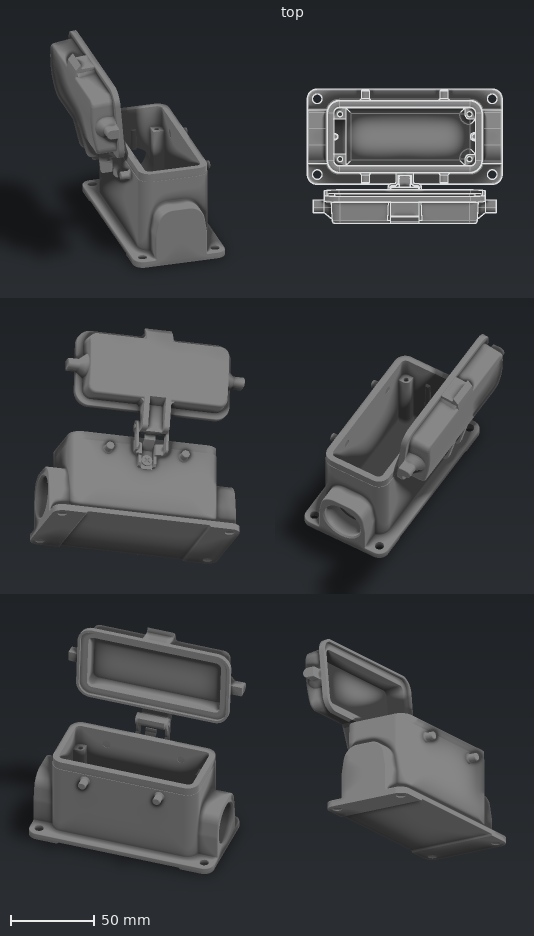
import cadquery as cq
import math

FOOT_LENGTH = 117.0
FOOT_WIDTH = 57.2
FOOT_HEIGHT = 4.2
FOOT_CORNER = 6.1
EDGE_FILLET = 0.7
MOUNT_HOLE_X = 52.4
MOUNT_HOLE_Y = 22.7
MOUNT_HOLE_DIAMETER = 5.6
RELIEF_HALF_BOTTOM = 39.1
RELIEF_HALF_TOP = 37.9
RELIEF_DEPTH = 1.0

BODY_LENGTH = 92.9
BODY_WIDTH = 43.5
BODY_CORNER = 7.5
COLLAR_LENGTH = 92.4
COLLAR_WIDTH = 42.8
COLLAR_CORNER = 7.3
COLLAR_BOTTOM = 50.3
RIM_EDGE_Z = 55.5
RIM_CROWN = 0.5
CAVITY_LENGTH = 85.0
CAVITY_WIDTH = 34.6
CAVITY_CORNER = 3.2
FLOOR_Z = 3.5
FLOOR_FILLET = 3.3
POST_TOP_Z = 42.1
POST_INNER_X = 36.2
POST_CORNER = 2.9
ENTRY_BLOCK_X = -35.3
POST_INNER_Y = 10.5
POST_HOLE_X = 38.7
POST_HOLE_Y = 13.5
POST_HOLE_DIAMETER = 3.0
POST_HOLE_DEPTH = 11.7
RIB_TOP_DIAMETER = 3.0
RIB_BOTTOM_DIAMETER = 5.1
RIB_X = 41.8

BOSS_TOP = 36.0
BOSS_HALF_FLAT = 4.9
BOSS_HALF_WIDTH = 16.0
BOSS_ARC_RADIUS = 9.8
BOSS_ARC_END_TILT = 9.5
BOSS_BEND_RADIUS = 11.7
ENTRY_Z = 19.1
ENTRY_MOUTH_DIAMETER = 25.0
ENTRY_INNER_DIAMETER = 21.0
ENTRY_CHAMFER = 0.9
ENTRY_DEPTH = 14.0

PIN_X = 23.6
PIN_Z = 45.7
PIN_DIAMETER = 4.8
PIN_END_Y = 27.8
PIN_CHAMFER = 0.4
PIN_COLLAR_DIAMETER = 6.7
PIN_COLLAR_HEIGHT = 1.2
PIN_SEAT_DEPTH = 0.2
PIN_ROOT_DEPTH = 1.2

SHEET = 1.4
BEND_RADIUS = 0.7
HAT_HALF_WIDTH = 5.4
HAT_OUTER_Y = -29.5
HAT_BOTTOM = 42.2
HAT_TOP = 49.1
SKIRT_BOTTOM = 36.0
SKIRT_OUTER_Y = -26.5
EAR_OUTER_X = 10.1
EAR_INNER_X = 8.5
EAR_RADIUS = 3.7
HINGE_Y = -33.8
EAR_REAR_Y = -31.8
HINGE_Z = 57.1
HINGE_PIN_DIAMETER = 3.0
HINGE_PIN_HALF_LENGTH = 10.8
EAR_TOE = 0.9
EAR_TOE_Y = -35.8
SPRING_WIDTH = 6.7
SPRING_THICKNESS = 0.7
SPRING_BOTTOM = 34.5
SPRING_TOP = 54.0
SPRING_BEND_LOW = 46.3
SPRING_BEND_HIGH = 50.8
SPRING_OUTER_Y = -31.0
SCREW_Z = 39.9
SCREW_HEAD_DIAMETER = 6.7
SCREW_HEAD_HEIGHT = 1.0
SCREW_CROSS_LENGTH = 4.0
SCREW_CROSS_WIDTH = 0.9
SCREW_CROSS_DEPTH = 0.6

COVER_TILT = 5.0
COVER_CENTER_Y = -33.8
COVER_CENTER_Z = 90.3
LIP_LENGTH = 96.6
LIP_HEIGHT = 46.8
LIP_CORNER = 8.9
LIP_DEPTH = 3.6
LIP_WALL = 1.6
LIP_RECESS_DEPTH = 2.0
LIP_EDGE_FILLET = 0.6
DOME_LENGTH = 88.5
DOME_HEIGHT = 38.8
DOME_CORNER = 5.4
DOME_DRAFT = 3.0
DOME_EDGE_FILLET = 1.8
DOME_EXTRUSION = 23.4
DOME_FRONT_Y = -47.5
FACE_TOP = (-51.0, 111.7)
FACE_MIDDLE = (-51.8, 92.4)
FACE_BOTTOM = (-48.3, 73.1)
DOME_WALL = 2.1
DOME_CAVITY_DEPTH = 13.8
STRAP_HALF_WIDTH = 8.4
GUSSET_WIDTH = 2.6
GUSSET_HEIGHT = 2.8
GUSSET_DEPTH = 12.9
GUSSET_OVERLAP = 0.6
SLOT_HALF_WIDTH = 5.0
KNUCKLE_RADIUS = 3.6
KNUCKLE_LINK_RISE = 2.3
KNUCKLE_LINK_Y = -37.9
KNUCKLE_STOP_RISE = 2.8
KNOB_Y = -42.5
KNOB_Z = 89.5
KNOB_RADIUS = 3.2
KNOB_END_X = 55.1
KNOB_BASE_RADIUS = 7.6
KNOB_BASE_X = 42.8
KNOB_STUB_ROOT_Y = -37.8
KNOB_BASE_ROOT_Y = -36.6
KNOB_OVERLAP = 1.2


def rounded_block(length, width, height, corner, bottom_z):
    block = cq.Workplane("XY", origin=(0, 0, bottom_z)).rect(length, width).extrude(height)
    return block.edges("|Z").fillet(corner)


def box_between(x, y, z):
    """Box from pairs of limits along each axis."""
    return cq.Workplane("XY", origin=(x[0], y[0], z[0])).box(
        x[1] - x[0], y[1] - y[0], z[1] - z[0], centered=False
    )


def prism_along_x(points, x_start, x_end):
    """Prism whose section is an outline of (y, z) points."""
    return cq.Workplane("YZ", origin=(x_start, 0, 0)).polyline(points).close().extrude(x_end - x_start)


def make_mounting_holes():
    return (
        cq.Workplane("XY")
        .rect(2 * MOUNT_HOLE_X, 2 * MOUNT_HOLE_Y, forConstruction=True)
        .vertices()
        .circle(MOUNT_HOLE_DIAMETER / 2)
        .extrude(2 * FOOT_HEIGHT)
    )


def make_relief():
    """Shallow channel across the underside, leaving a pad at each end."""
    return (
        cq.Workplane("XZ", origin=(0, FOOT_WIDTH / 2, 0))
        .polyline([
            (-RELIEF_HALF_BOTTOM, 0),
            (-RELIEF_HALF_TOP, RELIEF_DEPTH),
            (RELIEF_HALF_TOP, RELIEF_DEPTH),
            (RELIEF_HALF_BOTTOM, 0),
        ])
        .close()
        .extrude(FOOT_WIDTH)
    )


def make_boss(side):
    """Arched block on one end of the housing."""
    tilt = math.radians(BOSS_ARC_END_TILT)
    arc_z = BOSS_TOP - BOSS_ARC_RADIUS

    def arc_point(angle):
        return (
            BOSS_HALF_FLAT + BOSS_ARC_RADIUS * math.cos(angle),
            arc_z + BOSS_ARC_RADIUS * math.sin(angle),
        )

    end_y, end_z = arc_point(tilt)
    mid_y, mid_z = arc_point((tilt + math.pi / 2) / 2)
    boss = (
        cq.Workplane("YZ")
        .moveTo(-BOSS_HALF_WIDTH, 0)
        .lineTo(BOSS_HALF_WIDTH, 0)
        .lineTo(BOSS_HALF_WIDTH, ENTRY_Z)
        .lineTo(end_y, end_z)
        .threePointArc((mid_y, mid_z), (BOSS_HALF_FLAT, BOSS_TOP))
        .lineTo(-BOSS_HALF_FLAT, BOSS_TOP)
        .threePointArc((-mid_y, mid_z), (-end_y, end_z))
        .lineTo(-BOSS_HALF_WIDTH, ENTRY_Z)
        .close()
        .extrude(FOOT_LENGTH / 2)
    )
    for bend_y in (-BOSS_HALF_WIDTH, BOSS_HALF_WIDTH):
        bend = cq.selectors.NearestToPointSelector((FOOT_LENGTH / 4, bend_y, ENTRY_Z))
        boss = boss.edges(bend).fillet(BOSS_BEND_RADIUS)
    return boss if side > 0 else boss.mirror("YZ")


def make_rim_crown():
    """Gently rounded top of the wall, swept around the opening."""
    wall = (COLLAR_LENGTH - CAVITY_LENGTH) / 2
    outer_x = COLLAR_LENGTH / 2
    section = (
        cq.Workplane("XZ")
        .moveTo(outer_x, RIM_EDGE_Z)
        .threePointArc((outer_x - wall / 2, RIM_EDGE_Z + RIM_CROWN), (outer_x - wall, RIM_EDGE_Z))
        .close()
    )
    half_x = outer_x
    half_y = COLLAR_WIDTH / 2
    corner = COLLAR_CORNER
    straight_x = half_x - corner
    straight_y = half_y - corner
    path = (
        cq.Workplane("XY", origin=(0, 0, RIM_EDGE_Z))
        .moveTo(half_x, 0)
        .lineTo(half_x, straight_y)
        .radiusArc((straight_x, half_y), -corner)
        .lineTo(-straight_x, half_y)
        .radiusArc((-half_x, straight_y), -corner)
        .lineTo(-half_x, -straight_y)
        .radiusArc((-straight_x, -half_y), -corner)
        .lineTo(straight_x, -half_y)
        .radiusArc((half_x, -straight_y), -corner)
        .close()
    )
    return section.sweep(path)


def make_cavity():
    """Inside of the shell, leaving the corner posts, the entry block and the end ribs."""
    half_x = CAVITY_LENGTH / 2
    half_y = CAVITY_WIDTH / 2
    lower = box_between((ENTRY_BLOCK_X, half_x), (-half_y, half_y), (FLOOR_Z, POST_TOP_Z))
    middle = (0, 0, (FLOOR_Z + POST_TOP_Z) / 2)
    for y_limits in ((POST_INNER_Y, half_y), (-half_y, -POST_INNER_Y)):
        post = box_between((POST_INNER_X, half_x), y_limits, (FLOOR_Z, POST_TOP_Z))
        lower = lower.cut(post.edges(cq.NearestToPointSelector(middle)).fillet(POST_CORNER))
    lower = lower.faces("<Z").edges().fillet(FLOOR_FILLET)
    upper = rounded_block(
        CAVITY_LENGTH, CAVITY_WIDTH, RIM_EDGE_Z + RIM_CROWN - POST_TOP_Z, CAVITY_CORNER, POST_TOP_Z
    )
    entry_slot = box_between(
        (-half_x, ENTRY_BLOCK_X),
        (-ENTRY_INNER_DIAMETER / 2, ENTRY_INNER_DIAMETER / 2),
        (ENTRY_Z, POST_TOP_Z),
    )
    cavity = upper.union(lower).union(entry_slot)
    for side in (-1, 1):
        rib = (
            cq.Workplane("XY", origin=(side * RIB_X, 0, 0))
            .circle(RIB_BOTTOM_DIAMETER / 2)
            .workplane(offset=POST_TOP_Z)
            .circle(RIB_TOP_DIAMETER / 2)
            .loft()
        )
        cavity = cavity.cut(rib)
    return cavity


def make_post_holes():
    """Blind screw holes with conical ends in the corner posts."""
    radius = POST_HOLE_DIAMETER / 2
    hole = (
        cq.Workplane("XZ", origin=(0, 0, POST_TOP_Z))
        .polyline([
            (0, 0),
            (radius, 0),
            (radius, -POST_HOLE_DEPTH),
            (0, -POST_HOLE_DEPTH - radius),
        ])
        .close()
        .revolve(360, (0, 0), (0, 1))
    )
    holes = cq.Workplane("XY")
    for x in (-POST_HOLE_X, POST_HOLE_X):
        for y in (-POST_HOLE_Y, POST_HOLE_Y):
            holes = holes.add(hole.translate((x, y, 0)))
    return holes.combine()


def make_cable_entry():
    """Bore through the -X boss: chamfered mouth, then a step down to the inner bore."""
    mouth_x = -FOOT_LENGTH / 2
    step_x = mouth_x + ENTRY_DEPTH
    mouth_radius = ENTRY_MOUTH_DIAMETER / 2
    inner_radius = ENTRY_INNER_DIAMETER / 2
    return (
        cq.Workplane("XZ", origin=(0, 0, ENTRY_Z))
        .polyline([
            (mouth_x, 0),
            (mouth_x, mouth_radius + ENTRY_CHAMFER),
            (mouth_x + ENTRY_CHAMFER, mouth_radius),
            (step_x, mouth_radius),
            (step_x, inner_radius),
            (ENTRY_BLOCK_X, inner_radius),
            (ENTRY_BLOCK_X, 0),
        ])
        .close()
        .revolve(360, (0, 0), (1, 0))
    )


def make_locking_pin(side_x, side_y):
    wall_y = COLLAR_WIDTH / 2 - PIN_ROOT_DEPTH
    collar_end = BODY_WIDTH / 2 + PIN_COLLAR_HEIGHT
    radius = PIN_DIAMETER / 2
    pin = (
        cq.Workplane("XY")
        .polyline([
            (0, wall_y),
            (PIN_COLLAR_DIAMETER / 2, wall_y),
            (PIN_COLLAR_DIAMETER / 2, BODY_WIDTH / 2),
            (radius, collar_end),
            (radius, PIN_END_Y - PIN_CHAMFER),
            (radius - PIN_CHAMFER, PIN_END_Y),
            (0, PIN_END_Y),
        ])
        .close()
        .revolve(360, (0, 0), (0, 1))
    )
    if side_y < 0:
        pin = pin.mirror("XZ")
    return pin.translate((side_x * PIN_X, 0, PIN_Z))


def make_pin_seats():
    """Shallow round marks inside the long walls behind the locking pins."""
    seat_width = CAVITY_WIDTH + 2 * PIN_SEAT_DEPTH
    return (
        cq.Workplane("XZ", origin=(0, seat_width / 2, PIN_Z))
        .pushPoints([(-PIN_X, 0), (PIN_X, 0)])
        .circle(PIN_DIAMETER / 2)
        .extrude(seat_width)
    )


def make_hat_section():
    """Bent sheet: a base on the wall, two side walls and two wings reaching the ears."""
    wall_y = -BODY_WIDTH / 2
    inner_x = HAT_HALF_WIDTH - SHEET
    wing_inner_y = HAT_OUTER_Y + SHEET
    outer_bend = BEND_RADIUS + SHEET
    hat = box_between(
        (-HAT_HALF_WIDTH, HAT_HALF_WIDTH), (wall_y - SHEET, wall_y), (HAT_BOTTOM, HAT_TOP)
    )
    wing = (
        cq.Workplane("XY", origin=(0, 0, HAT_BOTTOM))
        .moveTo(inner_x, wall_y)
        .lineTo(HAT_HALF_WIDTH, wall_y)
        .lineTo(HAT_HALF_WIDTH, wing_inner_y + BEND_RADIUS)
        .radiusArc((HAT_HALF_WIDTH + BEND_RADIUS, wing_inner_y), -BEND_RADIUS)
        .lineTo(EAR_OUTER_X - outer_bend, wing_inner_y)
        .radiusArc((EAR_OUTER_X, wing_inner_y - outer_bend), outer_bend)
        .lineTo(EAR_OUTER_X, HINGE_Y)
        .lineTo(EAR_INNER_X, HINGE_Y)
        .lineTo(EAR_INNER_X, HAT_OUTER_Y - BEND_RADIUS)
        .radiusArc((EAR_INNER_X - BEND_RADIUS, HAT_OUTER_Y), -BEND_RADIUS)
        .lineTo(inner_x + outer_bend, HAT_OUTER_Y)
        .radiusArc((inner_x, HAT_OUTER_Y + outer_bend), outer_bend)
        .close()
        .extrude(HAT_TOP - HAT_BOTTOM)
    )
    hat = hat.union(wing).union(wing.mirror("YZ"))
    return hat


def make_skirt():
    """Lower base of the hat with two short chamfered side walls."""
    wall_y = -BODY_WIDTH / 2
    base_y = wall_y - SHEET
    skirt = box_between(
        (-HAT_HALF_WIDTH, HAT_HALF_WIDTH), (base_y, wall_y), (SKIRT_BOTTOM, HAT_BOTTOM)
    )
    outline = [
        (wall_y, SKIRT_BOTTOM),
        (SKIRT_OUTER_Y + SHEET, SKIRT_BOTTOM),
        (SKIRT_OUTER_Y, SKIRT_BOTTOM + SHEET),
        (SKIRT_OUTER_Y, HAT_BOTTOM),
        (wall_y, HAT_BOTTOM),
    ]
    inner_x = HAT_HALF_WIDTH - SHEET
    for start in (-HAT_HALF_WIDTH, inner_x):
        skirt = skirt.union(prism_along_x(outline, start, start + SHEET))
    return skirt


def make_ears():
    """Two upright plates with round heads, joined by the hinge pin."""
    ear_outline = [
        (EAR_REAR_Y, HAT_BOTTOM),
        (EAR_TOE_Y + EAR_TOE, HAT_BOTTOM),
        (EAR_TOE_Y, HAT_BOTTOM + EAR_TOE),
        (HINGE_Y - EAR_RADIUS, HINGE_Z),
        (EAR_REAR_Y, HINGE_Z),
    ]
    thickness = EAR_OUTER_X - EAR_INNER_X
    pin = (
        cq.Workplane("YZ", origin=(-HINGE_PIN_HALF_LENGTH, HINGE_Y, HINGE_Z))
        .circle(HINGE_PIN_DIAMETER / 2)
        .extrude(2 * HINGE_PIN_HALF_LENGTH)
    )
    ears = pin
    for start in (-EAR_OUTER_X, EAR_INNER_X):
        head = (
            cq.Workplane("YZ", origin=(start, HINGE_Y, HINGE_Z)).circle(EAR_RADIUS).extrude(thickness)
        )
        ears = ears.union(prism_along_x(ear_outline, start, start + thickness)).union(head)
    return ears


def make_spring():
    """Leaf clamped by the screw, bent outwards towards the hinge."""
    back_y = -BODY_WIDTH / 2 - SHEET
    front_y = back_y - SPRING_THICKNESS
    outline = [
        (back_y, SPRING_BOTTOM),
        (front_y, SPRING_BOTTOM),
        (front_y, SPRING_BEND_LOW),
        (SPRING_OUTER_Y, SPRING_BEND_HIGH),
        (SPRING_OUTER_Y, SPRING_TOP),
        (SPRING_OUTER_Y + SPRING_THICKNESS, SPRING_TOP),
        (SPRING_OUTER_Y + SPRING_THICKNESS, SPRING_BEND_HIGH + SPRING_THICKNESS),
        (back_y, SPRING_BEND_LOW + SPRING_THICKNESS),
    ]
    return prism_along_x(outline, -SPRING_WIDTH / 2, SPRING_WIDTH / 2)


def make_screw_head():
    seat_y = -BODY_WIDTH / 2 - SHEET - SPRING_THICKNESS
    head = (
        cq.Workplane("XZ", origin=(0, seat_y, SCREW_Z))
        .circle(SCREW_HEAD_DIAMETER / 2)
        .extrude(SCREW_HEAD_HEIGHT)
    )
    cross_floor_y = seat_y - SCREW_HEAD_HEIGHT + SCREW_CROSS_DEPTH
    for angle in (45, -45):
        head = head.cut(
            cq.Workplane("XZ", origin=(0, cross_floor_y, SCREW_Z))
            .transformed(rotate=(0, 0, angle))
            .rect(SCREW_CROSS_LENGTH, SCREW_CROSS_WIDTH)
            .extrude(SCREW_CROSS_DEPTH)
        )
    return head


def make_core():
    """Shell, bosses and foot, with rounded joints and edges."""
    core = rounded_block(BODY_LENGTH, BODY_WIDTH, COLLAR_BOTTOM, BODY_CORNER, 0)
    for side in (-1, 1):
        core = core.union(make_boss(side))
    core = core.union(rounded_block(FOOT_LENGTH, FOOT_WIDTH, FOOT_HEIGHT, FOOT_CORNER, 0))
    end_x = FOOT_LENGTH / 2
    joint_x = BODY_LENGTH / 2
    slack = 0.1
    corner_inset = 0.5
    edges = cq.selectors.BoxSelector(
        (-end_x - slack, -FOOT_WIDTH, FOOT_HEIGHT - slack),
        (end_x + slack, FOOT_WIDTH, FOOT_HEIGHT + slack),
    )
    for x_start, x_end in ((joint_x - corner_inset, joint_x + slack), (end_x - slack, end_x + slack)):
        for low, high in ((x_start, x_end), (-x_end, -x_start)):
            edges = edges + cq.selectors.BoxSelector(
                (low, -BOSS_HALF_WIDTH - slack, FOOT_HEIGHT + slack),
                (high, BOSS_HALF_WIDTH + slack, BOSS_TOP + slack),
            )
    core = core.edges(edges).fillet(EDGE_FILLET)
    collar = rounded_block(
        COLLAR_LENGTH, COLLAR_WIDTH, RIM_EDGE_Z - COLLAR_BOTTOM, COLLAR_CORNER, COLLAR_BOTTOM
    )
    return core.union(collar).cut(make_relief()).cut(make_mounting_holes())


def make_housing():
    housing = make_core()
    for side_x in (-1, 1):
        for side_y in (-1, 1):
            housing = housing.union(make_locking_pin(side_x, side_y))
    housing = housing.cut(make_cavity()).cut(make_pin_seats()).cut(make_cable_entry())
    housing = housing.cut(make_post_holes()).union(make_rim_crown())
    for part in (make_hat_section(), make_skirt(), make_ears(), make_spring(), make_screw_head()):
        housing = housing.union(part)
    return housing


def on_cover(shape):
    """Move a shape built on XY, with its depth along Z, onto the tilted opening of the cover."""
    upright = shape.rotate((0, 0, 0), (1, 0, 0), 90 + COVER_TILT)
    return upright.translate((0, COVER_CENTER_Y, COVER_CENTER_Z))


def front_outline(outline):
    """Gently bulging outer face, from the latch nose down to the start of the arm."""
    return outline.threePointArc(FACE_MIDDLE, FACE_BOTTOM)


def make_dome():
    plug = on_cover(
        cq.Workplane("XY", origin=(0, 0, LIP_DEPTH / 2))
        .sketch()
        .rect(DOME_LENGTH, DOME_HEIGHT)
        .vertices()
        .fillet(DOME_CORNER)
        .finalize()
        .extrude(DOME_EXTRUSION, taper=DOME_DRAFT)
    )
    inner_y = COVER_CENTER_Y + DOME_EXTRUSION / 2
    region = cq.Workplane("YZ", origin=(-LIP_LENGTH / 2, 0, 0))
    region = front_outline(region.moveTo(inner_y, FACE_TOP[1]).lineTo(*FACE_TOP))
    region = region.lineTo(-46.8, 66.7).lineTo(inner_y, 66.7).close().extrude(LIP_LENGTH)
    front_edges = cq.selectors.BoxSelector((-LIP_LENGTH, -70.2, 58.5), (LIP_LENGTH, DOME_FRONT_Y, 128.7))
    return plug.intersect(region).edges(front_edges).fillet(DOME_EDGE_FILLET)


def make_strap_gussets():
    """Small wedges that blend the strap into the top and bottom of the dome."""
    root_y = DOME_HEIGHT / 2 - GUSSET_HEIGHT / 2
    gussets = cq.Workplane("XY")
    for side_x in (-1, 1):
        for side_y in (-1, 1):
            wedge = (
                cq.Workplane("XY", origin=(0, 0, LIP_DEPTH / 2))
                .polyline([
                    (side_x * (STRAP_HALF_WIDTH - GUSSET_OVERLAP), side_y * root_y),
                    (side_x * (STRAP_HALF_WIDTH + GUSSET_WIDTH), side_y * root_y),
                    (side_x * STRAP_HALF_WIDTH, side_y * (root_y + GUSSET_HEIGHT)),
                    (side_x * (STRAP_HALF_WIDTH - GUSSET_OVERLAP), side_y * (root_y + GUSSET_HEIGHT)),
                ])
                .close()
                .extrude(GUSSET_DEPTH)
            )
            gussets = gussets.add(on_cover(wedge))
    return gussets.combine()


def make_strap():
    """Central band: latch nose on top, hinge arm below."""
    outline = (
        cq.Workplane("YZ", origin=(-STRAP_HALF_WIDTH, 0, 0))
        .moveTo(-37.4, 113.0)
        .lineTo(-47.4, 112.2)
        .lineTo(-48.0, 115.2)
        .lineTo(*FACE_TOP)
    )
    return (
        front_outline(outline)
        .lineTo(-44.2, 56.2)
        .threePointArc((-43.2, 53.8), (-40.8, 52.9))
        .lineTo(-37.2, 52.9)
        .lineTo(-38.5, 64.4)
        .threePointArc((-37.9, 65.9), (-36.3, 66.6))
        .lineTo(-35.7, 68.5)
        .close()
        .extrude(2 * STRAP_HALF_WIDTH)
    )


def make_arm_slot():
    outline = [(-49.1, 72.3), (-40.5, 69.3), (-39.1, 51.5), (-49.1, 51.5)]
    return prism_along_x(outline, -SLOT_HALF_WIDTH, SLOT_HALF_WIDTH)


def make_knuckle():
    start = -STRAP_HALF_WIDTH
    knuckle = (
        cq.Workplane("YZ", origin=(start, HINGE_Y, HINGE_Z))
        .circle(KNUCKLE_RADIUS)
        .extrude(2 * STRAP_HALF_WIDTH)
    )
    across = (start, STRAP_HALF_WIDTH)
    link_heights = (HINGE_Z - KNUCKLE_RADIUS, HINGE_Z + KNUCKLE_LINK_RISE)
    link = box_between(across, (KNUCKLE_LINK_Y, HINGE_Y), link_heights)
    stop_heights = (HINGE_Z, HINGE_Z + KNUCKLE_STOP_RISE)
    stop = box_between(across, (HINGE_Y, HINGE_Y + KNUCKLE_RADIUS), stop_heights)
    return knuckle.union(link).union(stop)


def make_pin_bore():
    return (
        cq.Workplane("YZ", origin=(-STRAP_HALF_WIDTH, HINGE_Y, HINGE_Z))
        .circle(HINGE_PIN_DIAMETER / 2)
        .extrude(2 * STRAP_HALF_WIDTH)
    )


def knob_outline(plane, root_y, radius):
    """Flat on the lip side, round on the outside."""
    return (
        plane.moveTo(root_y, KNOB_Z - radius)
        .lineTo(KNOB_Y, KNOB_Z - radius)
        .threePointArc((KNOB_Y - radius, KNOB_Z), (KNOB_Y, KNOB_Z + radius))
        .lineTo(root_y, KNOB_Z + radius)
        .close()
    )


def make_knob(side):
    lip_x = LIP_LENGTH / 2
    stub_x = lip_x - KNOB_OVERLAP
    stub = knob_outline(cq.Workplane("YZ", origin=(stub_x, 0, 0)), KNOB_STUB_ROOT_Y, KNOB_RADIUS)
    stub = stub.extrude(KNOB_END_X - stub_x).faces(">X").edges().chamfer(PIN_CHAMFER)
    base = knob_outline(
        cq.Workplane("YZ", origin=(KNOB_BASE_X, 0, 0)), KNOB_BASE_ROOT_Y, KNOB_BASE_RADIUS
    )
    base = base.workplane(offset=lip_x - KNOB_BASE_X)
    base = knob_outline(base, KNOB_BASE_ROOT_Y, KNOB_RADIUS).loft(ruled=True)
    knob = stub.union(base)
    return knob if side > 0 else knob.mirror("YZ")


def make_cover_cavity():
    """Recess for the housing rim, then the hollow of the dome."""
    recess = rounded_block(
        LIP_LENGTH - 2 * LIP_WALL,
        LIP_HEIGHT - 2 * LIP_WALL,
        LIP_RECESS_DEPTH,
        LIP_CORNER - LIP_WALL,
        0,
    )
    hollow = rounded_block(
        DOME_LENGTH - 2 * DOME_WALL,
        DOME_HEIGHT - 2 * DOME_WALL,
        DOME_CAVITY_DEPTH,
        DOME_CORNER - DOME_WALL,
        0,
    )
    return on_cover(recess.union(hollow))


def make_cover():
    lip = rounded_block(LIP_LENGTH, LIP_HEIGHT, LIP_DEPTH, LIP_CORNER, 0)
    lip = on_cover(lip.faces(">Z").edges().fillet(LIP_EDGE_FILLET))
    cover = lip.union(make_dome())
    for side in (-1, 1):
        cover = cover.union(make_knob(side))
    cover = cover.union(make_strap()).union(make_strap_gussets())
    cover = cover.cut(make_cover_cavity()).cut(make_arm_slot())
    return cover.union(make_knuckle()).cut(make_pin_bore())


housing = make_housing()
cover = make_cover()
result = cq.Compound.makeCompound([*housing.solids().vals(), *cover.solids().vals()])